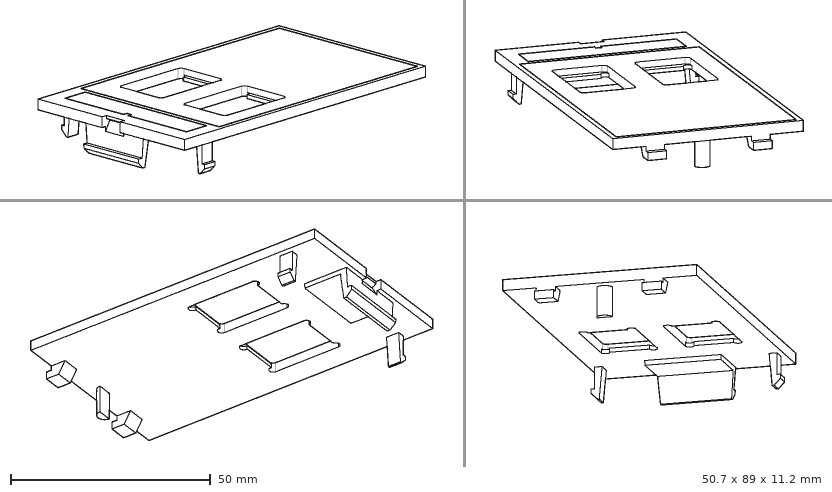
import cadquery as cq


plate_width = 50.7
plate_length = 87.5
plate_thickness = 2.85
part_height = 11.2

recess_depth = 0.1
panel_border = 1.45
panel_front = 14.1
label_width = 42.0
label_front = 5.3
label_length = 7.3
label_key_width = 1.6
label_key_length = 1.2

window_pitch = 22.0
window_width = 14.7
window_front = 22.0
window_length = 22.5
window_ledge_depth = 1.8
ledge_gap_front = 24.1
ledge_gap_length = 19.05
ear_width = 2.15
ear_front = 23.05
window_corner_radius = ear_width / 2

clip_thickness = 2.05
clip_tip_inset = 0.75
hook_height = 2.75
hook_lip_height = 1.1
front_clip_width = 20.0
front_clip_tip_width = 18.6
front_clip_inset = 1.22
side_clip_width = 3.75
side_clip_front = 7.95
side_clip_inset = 1.5
side_hook_reach = 0.9

pad_thickness = 1.25
pad_end = panel_front

notch_width = 6.2
notch_depth = 1.5
notch_wall_height = 0.75
notch_undercut_height = 0.7
notch_undercut_depth = 1.25

rear_hook_pitch = 28.1
rear_hook_width = 5.0
rear_hook_reach = 1.5
rear_hook_drop = 3.3
rear_hook_clearance = 1.2
rear_hook_root = 4.25
rear_hook_toe = 2.27

post_radius = 2.0
post_flat_inset = 4.55
post_bottom = -10.55

plate_bottom = -plate_thickness
part_bottom = -part_height


def box(x_size, y_start, y_size, z_start, z_size):
    """Box centred on X that starts at y_start and z_start."""
    start = cq.Workplane("XY", origin=(0, y_start, z_start))
    return start.box(x_size, y_size, z_size, centered=(True, False, False))


def extrude_along_x(points, width):
    """Extrude a (Y, Z) outline along X, centred on X = 0."""
    return cq.Workplane("YZ").polyline(points).close().extrude(width / 2, both=True)


def make_plate():
    plate = box(plate_width, 0, plate_length, plate_bottom, plate_thickness)
    panel_length = plate_length - panel_border - panel_front
    panel = box(plate_width - 2 * panel_border, panel_front, panel_length, -recess_depth, recess_depth)
    label = box(label_width, label_front, label_length, -recess_depth, recess_depth)
    label_key = box(label_key_width, label_front, label_key_length, -recess_depth, recess_depth)
    return plate.cut(panel).cut(label.cut(label_key))


def make_window():
    """Cutter for one window: a rounded opening with a ledge at each end and ears beside the ledges."""
    upper = box(window_width, window_front, window_length, -window_ledge_depth, window_ledge_depth)
    upper = upper.edges("|Z").fillet(window_corner_radius)
    lower = box(window_width, ledge_gap_front, ledge_gap_length, plate_bottom, plate_thickness)
    ear_x = (window_width - ear_width) / 2
    ear_length = window_front + window_length - ear_front
    ear_y = ear_front + ear_length / 2
    ears = (
        cq.Workplane("XY", origin=(0, ear_y, plate_bottom))
        .pushPoints([(-ear_x, 0), (ear_x, 0)])
        .slot2D(ear_length, ear_width, angle=90)
        .extrude(plate_thickness - window_ledge_depth)
    )
    return upper.union(lower).union(ears)


def make_clip(width, inset, reach):
    """Clip hanging from the plate with its hook pointing to -Y and a 45 degree lead-in at its tip."""
    hook_top = part_bottom + hook_height
    inner_tip = inset + clip_thickness - clip_tip_inset
    lip_bottom = hook_top - hook_lip_height
    outline = [
        (inset, plate_bottom),
        (inset, hook_top),
        (inset - reach, hook_top),
        (inset - reach, lip_bottom),
        (inset - reach + lip_bottom - part_bottom, part_bottom),
        (inner_tip, part_bottom),
        (inset + clip_thickness, plate_bottom),
    ]
    return extrude_along_x(outline, width)


def make_pad():
    """Flat pad running back from the front clip."""
    pad_start = front_clip_inset
    return box(front_clip_width, pad_start, pad_end - pad_start, plate_bottom - pad_thickness, pad_thickness)


def make_front_clip():
    """Wide clip and its pad, with tapered ends and the hook flush with the front edge of the plate."""
    clip = make_clip(front_clip_width, front_clip_inset, front_clip_inset)
    half_root = front_clip_width / 2
    half_tip = front_clip_tip_width / 2
    taper_corners = [
        (-half_root, plate_bottom),
        (half_root, plate_bottom),
        (half_tip, part_bottom),
        (-half_tip, part_bottom),
    ]
    taper = cq.Workplane("XZ").polyline(taper_corners).close().extrude(-pad_end)
    return clip.union(make_pad()).intersect(taper)


def make_left_clip():
    clip = make_clip(side_clip_width, side_clip_inset, side_hook_reach)
    clip_y = side_clip_front + side_clip_width / 2
    return clip.rotate((0, 0, 0), (0, 0, 1), -90).translate((-plate_width / 2, clip_y, 0))


def make_notch():
    """Cutter for the release notch: a short wall, an undercut and a ramp down to the clip face."""
    undercut_y = notch_depth + notch_undercut_depth
    ramp_top = -notch_wall_height - notch_undercut_height
    ramp_bottom = plate_bottom - pad_thickness
    outline = [
        (0, 0),
        (notch_depth, 0),
        (notch_depth, -notch_wall_height),
        (undercut_y, ramp_top),
        (front_clip_inset, ramp_bottom),
        (0, ramp_bottom),
    ]
    return extrude_along_x(outline, notch_width)


def make_rear_hook():
    hook_bottom = plate_bottom - rear_hook_drop
    hook_top = plate_bottom - rear_hook_clearance
    outline = [
        (plate_length - rear_hook_root, plate_bottom),
        (plate_length, plate_bottom),
        (plate_length, hook_top),
        (plate_length + rear_hook_reach, hook_top),
        (plate_length + rear_hook_reach, hook_bottom),
        (plate_length - rear_hook_toe, hook_bottom),
    ]
    return extrude_along_x(outline, rear_hook_width)


def make_post():
    """Half-round post with its flat side facing -Y."""
    return (
        cq.Workplane("XY", origin=(0, plate_length - post_flat_inset, post_bottom))
        .moveTo(post_radius, 0)
        .threePointArc((0, post_radius), (-post_radius, 0))
        .close()
        .extrude(plate_bottom - post_bottom)
    )


left_clip = make_left_clip()
result = make_plate().union(make_front_clip()).union(make_post())
result = result.union(left_clip).union(left_clip.mirror("YZ"))
for side in (-1, 1):
    result = result.cut(make_window().translate((side * window_pitch / 2, 0, 0)))
    result = result.union(make_rear_hook().translate((side * rear_hook_pitch / 2, 0, 0)))
result = result.cut(make_notch())